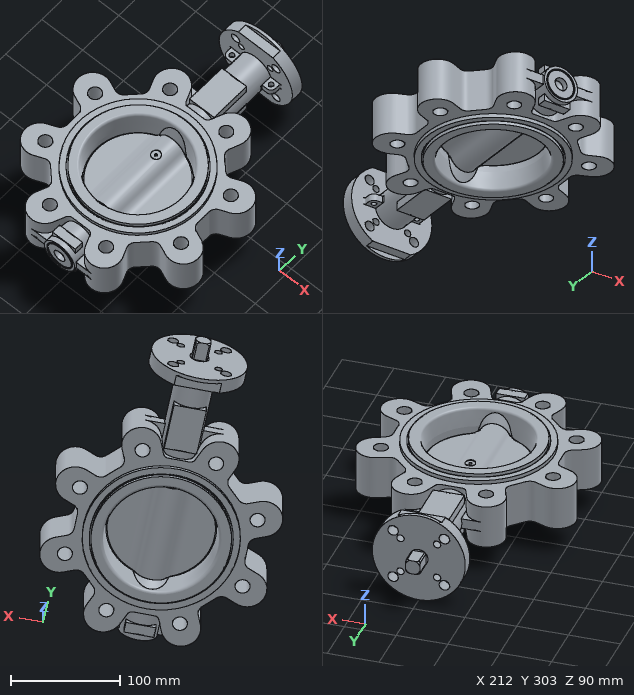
import cadquery as cq
import math


body_half_height = 21.5
flat_distance = 80.0
lug_count = 8
lug_step = 360 / lug_count
lug_angle = lug_step / 2
lug_radius = 18.2
body_half_width = 106.0
lug_centre = (body_half_width - lug_radius) / math.cos(math.radians(lug_angle))
bolt_circle_radius = 90.0
bolt_diameter = 13.5
valley_fillet = 8.5
neck_valley_fillet = 5.0

raised_ring_diameter = 145.0
raised_ring_half_height = 25.5
groove_diameter = 132.0
groove_depth = 1.5
liner_diameter = 129.0
liner_half_height = 28.0
mouth_radius = 56.5
throat_radius = 53.0
mouth_depth = 2.7
seat_radius = 51.0
seat_half_height = 9.0

stem_seat_distance = 47.3
hub_radius = 15.5
stem_seat_radius = hub_radius
stem_seat_outer_distance = 53.0
stem_seat_outer_radius = 24.2

neck_diameter = 37.0
boss_end = -108.8
neck_root = 60.5
web_root = 75.8
web_thickness = 10.0
plate_height = 19.5
neck_plate_width = 30.3
neck_plate_start = 88.2
neck_plate_end = 133.0
boss_plate_width = 28.2
boss_plate_start = -102.7
boss_plate_end = -92.7
cap_outer_diameter = 31.0
cap_diameter = 29.0
cap_groove_depth = 1.0
drill_diameter = 13.0
drill_depth = 6.0
drill_tip_depth = 3.5

flange_diameter = 90.0
flange_bottom = 162.7
flange_top = 176.3
flange_rim = 3.5
flange_flat_distance = 39.7
large_hole_diameter = 10.0
large_hole_circle = 70.0
small_hole_diameter = 7.0
small_hole_circle = 50.0
flange_hole_count = 4
flange_hole_angle = 45

ear_hole_distance = 24.0
ear_hole_height = 157.0
ear_hole_diameter = 5.0
ear_radius = 6.0
ear_thickness = 7.0
ear_flare = 1.5
ear_root_bottom = 149.0

disc_half_thickness = 2.7
disc_chamfer = 1.2
hub_foot = 23.3
stem_diameter = 18.0
stem_square = 14.0
stem_top = 194.2
stem_chamfer = 1.5
trunnion_end = -78.8
pin_distance = 24.8
pin_diameter = 10.0
pin_depth = 1.0
pin_hole_diameter = 2.7
pin_hole_depth = 1.8


def cylinder_y(diameter, start, end):
    """Cylinder on the stem axis between two Y positions."""
    return cq.Workplane("XZ", origin=(0, start, 0)).circle(diameter / 2).extrude(start - end)


def block(x_size, y_start, y_end, z_size):
    """Box centred on the stem axis in X and Z."""
    box = cq.Workplane("XY").box(x_size, y_end - y_start, z_size)
    return box.translate((0, (y_start + y_end) / 2, 0))


def plate_z(diameter, half_height):
    """Disc on the bore axis, centred on the origin."""
    return cq.Workplane("XY").circle(diameter / 2).extrude(half_height, both=True)


def valley_edges(body):
    """Upright edges closer to the bore axis than the lug centres are."""
    edges = body.edges("|Z").vals()
    return [edge for edge in edges if math.hypot(edge.Center().x, edge.Center().y) < lug_centre]


def make_lug_body():
    """Octagon with a round-ended lug at each corner and fillets in the valleys."""
    corner_diameter = 2 * flat_distance / math.cos(math.radians(lug_angle))
    octagon = cq.Workplane("XY").polygon(lug_count, corner_diameter)
    body = octagon.extrude(body_half_height, both=True).rotate((0, 0, 0), (0, 0, 1), lug_angle)
    arm = cq.Workplane("XY").center(lug_centre / 2, 0).rect(lug_centre, 2 * lug_radius)
    arm = arm.extrude(body_half_height, both=True)
    end = cq.Workplane("XY").center(lug_centre, 0).circle(lug_radius)
    lug = arm.union(end.extrude(body_half_height, both=True))
    for index in range(lug_count):
        body = body.union(lug.rotate((0, 0, 0), (0, 0, 1), lug_angle + index * lug_step))
    neck_edges = [edge for edge in valley_edges(body) if abs(edge.Center().x) < lug_radius]
    body = body.newObject(neck_edges).fillet(neck_valley_fillet)
    open_edges = [edge for edge in valley_edges(body) if abs(edge.Center().x) > lug_radius]
    return body.newObject(open_edges).fillet(valley_fillet)


def make_bolt_holes():
    holes = cq.Workplane("XY").polarArray(bolt_circle_radius, lug_angle, 360, lug_count)
    return holes.circle(bolt_diameter / 2).extrude(body_half_height, both=True)


def make_raised_faces():
    """Raised ring and liner faces with the groove that separates them."""
    ring = plate_z(raised_ring_diameter, raised_ring_half_height)
    groove = plate_z(groove_diameter, raised_ring_half_height)
    groove = groove.cut(plate_z(groove_diameter, raised_ring_half_height - groove_depth))
    return ring.cut(groove).union(plate_z(liner_diameter, liner_half_height))


def make_bore():
    """Revolved bore: seat band, tapered throat and rounded mouth on both sides."""
    throat_height = liner_half_height - mouth_depth
    arc_turn = math.radians(45)
    arc_x = mouth_radius - (mouth_radius - throat_radius) * math.cos(arc_turn)
    arc_z = throat_height + mouth_depth * math.sin(arc_turn)
    outline = (
        cq.Workplane("XZ")
        .moveTo(0, -liner_half_height)
        .lineTo(mouth_radius, -liner_half_height)
        .threePointArc((arc_x, -arc_z), (throat_radius, -throat_height))
        .lineTo(seat_radius, -seat_half_height)
        .lineTo(seat_radius, seat_half_height)
        .lineTo(throat_radius, throat_height)
        .threePointArc((arc_x, arc_z), (mouth_radius, liner_half_height))
        .lineTo(0, liner_half_height)
        .close()
    )
    return outline.revolve(360, (0, 0, 0), (0, 1, 0))


def make_stem_seat():
    """Conical pad on the +Y side of the bore that faces the hub end."""
    outline = (
        cq.Workplane("XY")
        .moveTo(0, stem_seat_distance)
        .lineTo(stem_seat_radius, stem_seat_distance)
        .lineTo(stem_seat_outer_radius, stem_seat_outer_distance)
        .lineTo(0, stem_seat_outer_distance)
        .close()
    )
    return outline.revolve(360, (0, 0, 0), (0, 1, 0))


def make_neck():
    """Neck, lower boss, label plates and the webs between the neighbouring lugs."""
    web_width = 2 * lug_centre * math.sin(math.radians(lug_angle))
    neck = cylinder_y(neck_diameter, neck_root, flange_bottom)
    neck = neck.union(block(neck_plate_width, neck_plate_start, neck_plate_end, 2 * plate_height))
    neck = neck.union(block(web_width, web_root, body_half_width, web_thickness))
    boss = cylinder_y(neck_diameter, boss_end, -neck_root)
    boss = boss.union(block(boss_plate_width, boss_plate_start, boss_plate_end, 2 * plate_height))
    boss = boss.union(block(web_width, -body_half_width, -web_root, web_thickness))
    return neck.union(boss)


def make_boss_cuts():
    """Ring groove around the cap and the drilled hole in the boss end."""
    groove = cylinder_y(cap_outer_diameter, boss_end, boss_end + cap_groove_depth)
    groove = groove.cut(cylinder_y(cap_diameter, boss_end, boss_end + cap_groove_depth))
    drill = (
        cq.Workplane("XY")
        .moveTo(0, boss_end)
        .lineTo(drill_diameter / 2, boss_end)
        .lineTo(drill_diameter / 2, boss_end + drill_depth)
        .lineTo(0, boss_end + drill_depth + drill_tip_depth)
        .close()
        .revolve(360, (0, 0, 0), (0, 1, 0))
    )
    return groove.union(drill)


def make_flange():
    """Actuator flange with two flats below its rim and two circles of four holes."""
    flange = cylinder_y(flange_diameter, flange_bottom, flange_top)
    flat_depth = flange_diameter / 2 - flange_flat_distance
    flat_middle = flange_flat_distance + flat_depth / 2
    cutter = block(flange_diameter, flange_bottom, flange_top - flange_rim, flat_depth)
    for side in (-1, 1):
        flange = flange.cut(cutter.translate((0, 0, side * flat_middle)))
    bottom = cq.Workplane("XZ", origin=(0, flange_bottom, 0))
    for diameter, circle in (
        (large_hole_diameter, large_hole_circle),
        (small_hole_diameter, small_hole_circle),
    ):
        holes = bottom.polarArray(circle / 2, flange_hole_angle, 360, flange_hole_count).circle(diameter / 2)
        flange = flange.cut(holes.extrude(flange_bottom - flange_top))
    return flange


def make_ears():
    """Pair of drilled ears under the flange with the block at their root."""
    ear_end = ear_hole_distance + ear_radius
    ear_bottom = ear_hole_height - ear_radius
    diagonal = math.sqrt(0.5)
    flare_inset = ear_flare * (1 - diagonal)
    half_outline = (
        cq.Workplane("XY")
        .moveTo(0, flange_bottom)
        .lineTo(ear_end + ear_flare, flange_bottom)
        .threePointArc(
            (ear_end + flare_inset, flange_bottom - flare_inset),
            (ear_end, flange_bottom - ear_flare),
        )
        .lineTo(ear_end, ear_hole_height)
        .threePointArc(
            (ear_hole_distance + ear_radius * diagonal, ear_hole_height - ear_radius * diagonal),
            (ear_hole_distance, ear_bottom),
        )
        .lineTo(0, ear_bottom)
        .close()
    )
    ear = half_outline.extrude(ear_thickness / 2, both=True)
    hole = cq.Workplane("XY").center(ear_hole_distance, ear_hole_height)
    ear = ear.cut(hole.circle(ear_hole_diameter / 2).extrude(ear_thickness, both=True))
    root = block(neck_diameter, ear_root_bottom, flange_bottom, ear_thickness)
    return ear.union(ear.mirror("YZ")).union(root)


def make_housing():
    housing = make_lug_body().union(make_raised_faces()).union(make_neck())
    housing = housing.cut(make_bolt_holes()).cut(make_bore())
    stem_seat = make_stem_seat()
    housing = housing.union(stem_seat).union(stem_seat.mirror("XZ"))
    housing = housing.union(make_flange()).union(make_ears())
    stem_bore = cylinder_y(stem_diameter, trunnion_end, flange_top)
    return housing.cut(stem_bore).cut(make_boss_cuts())


def make_hub_half():
    """Upper half of the hub: a round crown that runs into the disc face through fillets."""
    reach = hub_foot**2 + disc_half_thickness**2 - hub_radius**2
    fillet = reach / (2 * (hub_radius - disc_half_thickness))
    centre_z = disc_half_thickness + fillet
    joint_angle = math.atan2(centre_z, hub_foot)
    joint_x = hub_radius * math.cos(joint_angle)
    joint_z = hub_radius * math.sin(joint_angle)
    middle_angle = (joint_angle + math.pi / 2) / 2
    middle_x = hub_foot - fillet * math.cos(middle_angle)
    middle_z = centre_z - fillet * math.sin(middle_angle)
    outline = (
        cq.Workplane("XZ", origin=(0, -stem_seat_distance, 0))
        .moveTo(-hub_foot, 0)
        .lineTo(-hub_foot, disc_half_thickness)
        .threePointArc((-middle_x, middle_z), (-joint_x, joint_z))
        .threePointArc((0, hub_radius), (joint_x, joint_z))
        .threePointArc((middle_x, middle_z), (hub_foot, disc_half_thickness))
        .lineTo(hub_foot, 0)
        .close()
    )
    return outline.extrude(-2 * stem_seat_distance)


def make_stem():
    """Round stem with a square drive end above the flange and a plain lower end."""
    stem = cylinder_y(stem_diameter, trunnion_end, stem_top).faces(">Y").chamfer(stem_chamfer)
    round_part = cylinder_y(stem_diameter, trunnion_end, flange_top)
    return stem.intersect(round_part.union(block(stem_square, flange_top, stem_top, stem_square)))


def make_disc():
    """Disc with its hub and stem, cut flat where it meets the stem seats."""
    disc = plate_z(2 * seat_radius, disc_half_thickness).edges().chamfer(disc_chamfer)
    hub = make_hub_half()
    hub = hub.union(hub.mirror("XY"))
    hub = hub.intersect(plate_z(2 * (seat_radius - disc_chamfer), hub_radius))
    disc = disc.union(hub)
    disc = disc.intersect(block(2 * seat_radius, -stem_seat_distance, stem_seat_distance, 2 * hub_radius))
    pin_place = cq.Workplane("XY", origin=(0, pin_distance, hub_radius))
    disc = disc.cut(pin_place.circle(pin_diameter / 2).extrude(-pin_depth))
    disc = disc.cut(pin_place.circle(pin_hole_diameter / 2).extrude(-pin_depth - pin_hole_depth))
    return disc.union(make_stem())


housing = make_housing()
disc = make_disc()

result = cq.Compound.makeCompound([housing.solids().val(), disc.solids().val()])